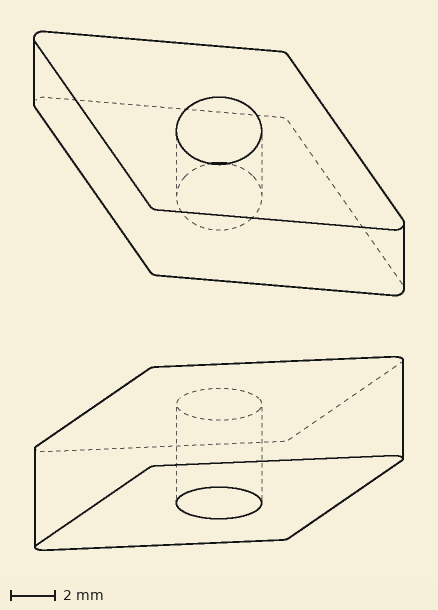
import cadquery as cq
import math

inscribed_diameter = 9.525
corner_angle = math.radians(55)
thickness = 4.76
corner_radius = 0.4
hole_diameter = 3.81

half_height = inscribed_diameter / 2
half_side = half_height / math.sin(corner_angle)
slant_offset = half_height / math.tan(corner_angle)
sharp_corner_x = half_side + slant_offset
blunt_corner_x = half_side - slant_offset


def rhombic_body():
    """Rhombic prism with all four upright edges rounded."""
    corners = [
        (-sharp_corner_x, -half_height),
        (blunt_corner_x, -half_height),
        (sharp_corner_x, half_height),
        (-blunt_corner_x, half_height),
    ]
    prism = cq.Workplane("XY").polyline(corners).close().extrude(thickness)
    return prism.edges("|Z").fillet(corner_radius)


def with_clamping_hole(body):
    """Cut the central through hole."""
    hole = cq.Workplane("XY").circle(hole_diameter / 2).extrude(thickness)
    return body.cut(hole)


result = with_clamping_hole(rhombic_body())